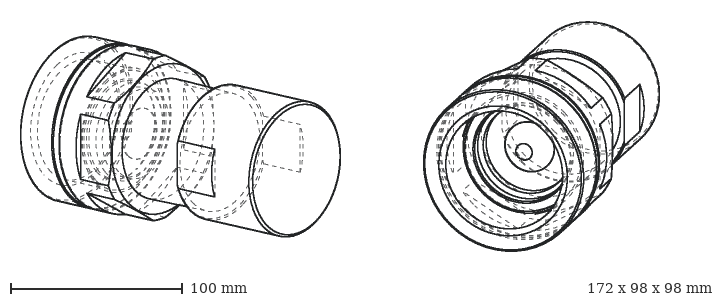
import cadquery as cq
import math

total_length = 172.0

sleeve_radius = 49.0
sleeve_end = 68.1
front_edge_chamfer = 1.0
groove_start = 25.1
groove_end = 30.8
groove_radius = 48.3
shoulder_start = 65.5
shoulder_angle = 30.0

hex_start = 44.0
hex_across_flats = 89.8
hex_flat_count = 6

neck_front_radius = 35.8
neck_rear_radius = 35.1

collar_start = 112.3
collar_radius = 40.0
collar_front_chamfer = 0.9
collar_rear_chamfer = 1.5
collar_flat_end = 141.6
collar_across_flats = 74.8

mouth_radius = 39.4
mouth_depth = 2.0
socket_radius = 35.8
socket_depth = 37.8
relief_start = 30.6
relief_taper_end = 35.5
relief_radius = 36.8

tube_face = 35.1
tube_radius = 35.5
tube_outer_fillet = 1.7
tube_inner_chamfer = 0.7
tube_inner_chamfer_depth = 1.2
tube_bore_radius = 29.2
tube_bore_end = 41.8
seat_radius = 26.7
seat_end = tube_bore_end + (tube_bore_radius - seat_radius)
floor_depth = 49.9

stem_base_radius = 15.1
stem_tip_radius = 5.0
stem_rim_height = 0.5
stem_flare_radius = stem_base_radius - stem_tip_radius


def revolve_about_x(profile):
    return profile.close().revolve(360, (0, 0, 0), (1, 0, 0))


def outer_body():
    shoulder_drop = (sleeve_end - shoulder_start) / math.tan(math.radians(shoulder_angle))
    profile = (
        cq.Workplane("XY")
        .moveTo(0, 0)
        .lineTo(0, sleeve_radius - front_edge_chamfer)
        .lineTo(front_edge_chamfer, sleeve_radius)
        .lineTo(groove_start, sleeve_radius)
        .lineTo(groove_start + sleeve_radius - groove_radius, groove_radius)
        .lineTo(groove_end, groove_radius)
        .lineTo(groove_end, sleeve_radius)
        .lineTo(shoulder_start, sleeve_radius)
        .lineTo(sleeve_end, sleeve_radius - shoulder_drop)
        .lineTo(sleeve_end, neck_front_radius)
        .lineTo(collar_start, neck_rear_radius)
        .lineTo(collar_start, collar_radius - collar_front_chamfer)
        .lineTo(collar_start + collar_front_chamfer, collar_radius)
        .lineTo(total_length - collar_rear_chamfer, collar_radius)
        .lineTo(total_length, collar_radius - collar_rear_chamfer)
        .lineTo(total_length, 0)
    )
    return revolve_about_x(profile)


def inner_cavity():
    stem_rim_x = floor_depth - stem_rim_height
    stem_tip_x = stem_rim_x - stem_flare_radius
    profile = (
        cq.Workplane("XY")
        .moveTo(0, 0)
        .lineTo(0, mouth_radius)
        .lineTo(mouth_depth, socket_radius)
        .lineTo(relief_start, socket_radius)
        .lineTo(relief_taper_end, relief_radius)
        .lineTo(socket_depth, relief_radius)
        .lineTo(socket_depth, tube_radius)
        .lineTo(tube_face + tube_outer_fillet, tube_radius)
        .radiusArc((tube_face, tube_radius - tube_outer_fillet), -tube_outer_fillet)
        .lineTo(tube_face, tube_bore_radius + tube_inner_chamfer)
        .lineTo(tube_face + tube_inner_chamfer_depth, tube_bore_radius)
        .lineTo(tube_bore_end, tube_bore_radius)
        .lineTo(seat_end, seat_radius)
        .lineTo(floor_depth, seat_radius)
        .lineTo(floor_depth, stem_base_radius)
        .lineTo(stem_rim_x, stem_base_radius)
        .radiusArc((stem_tip_x, stem_tip_radius), stem_flare_radius)
        .lineTo(stem_tip_x, 0)
    )
    return revolve_about_x(profile)


def cut_flats(body, start, end, across_flats, count, blank_radius):
    """Cut evenly spaced flats between x = start and x = end, the first one facing -Y."""
    depth = blank_radius
    block = cq.Workplane("XY").box(end - start, depth, 2 * blank_radius)
    block = block.translate(((start + end) / 2, -(across_flats + depth) / 2, 0))
    for index in range(count):
        body = body.cut(block.rotate((0, 0, 0), (1, 0, 0), index * 360 / count))
    return body


result = outer_body().cut(inner_cavity())
result = cut_flats(result, hex_start, sleeve_end, hex_across_flats, hex_flat_count, sleeve_radius)
result = cut_flats(result, collar_start, collar_flat_end, collar_across_flats, 2, collar_radius)